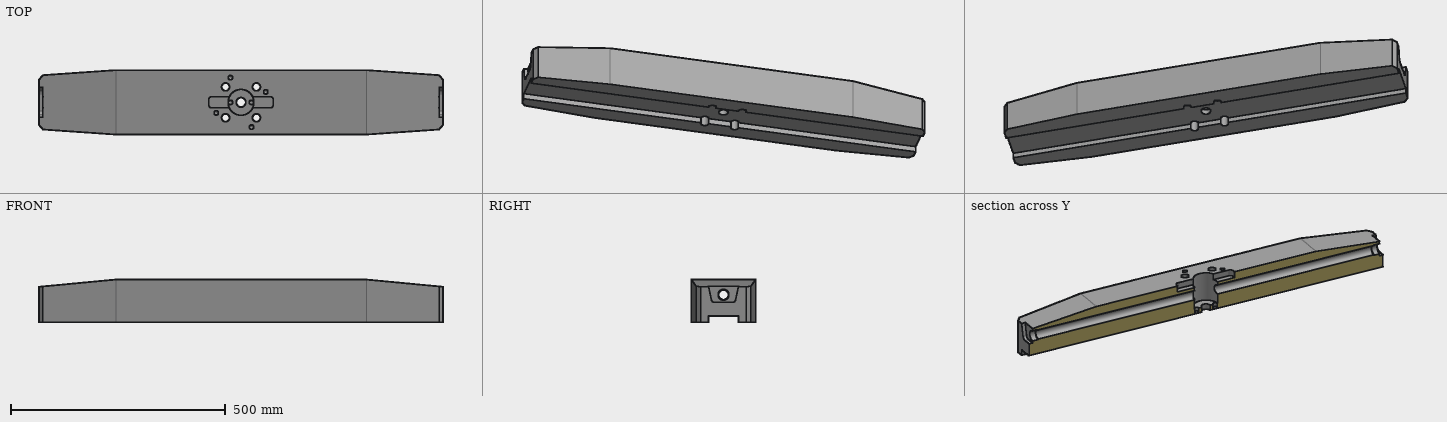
import cadquery as cq
import math

length = 940.0
width = 150.0
height = 100.0

taper_length = 179.0
end_height = 83.0
shoulder_width = 127.0
end_face_width = 105.0
corner_chamfer_length = 9.0

channel_width = 70.0
channel_depth = 14.0

bore_diameter = 60.0
bore_depth = 71.0
slot_length = 150.0
slot_width = 26.0
slot_depth = 15.0
slot_corner_radius = 7.5
hub_hole_diameter = 22.0
floor_hole_diameter = 10.0
floor_hole_spacing = 49.0
floor_hole_depth = 9.0

bolt_circle_diameter = 101.5
bolt_hole_diameter = 18.0
bolt_hole_angle = 45.0
tapped_circle_diameter = 125.0
tapped_hole_diameter = 10.0
drill_point_angle = 118.0
tapped_hole_depth = 19.0
tapped_hole_angle = 23.0

long_hole_diameter = 23.0
mouth_diameter = 25.0
mouth_length = 24.0
long_hole_height = 64.0
recess_depth = 9.0
recess_top_width = 70.0
recess_bottom_width = 54.0
recess_floor_height = 46.0
recess_corner_radius = 8.0

half_length = length / 2
taper_start = half_length - taper_length
chamfer_start = half_length - corner_chamfer_length


def body():
    """Bar narrowed in plan and lowered on top toward both ends."""
    plan_quarter = [
        (taper_start, width / 2),
        (chamfer_start, shoulder_width / 2),
        (half_length, end_face_width / 2),
    ]
    right_side = plan_quarter + [(x, -y) for x, y in reversed(plan_quarter)]
    left_side = [(-x, -y) for x, y in right_side]
    plan = cq.Workplane("XY").polyline(right_side + left_side).close().extrude(height)

    profile = (
        cq.Workplane("XZ")
        .polyline([
            (-half_length, 0),
            (half_length, 0),
            (half_length, end_height),
            (taper_start, height),
            (-taper_start, height),
            (-half_length, end_height),
        ])
        .close()
        .extrude(width / 2, both=True)
    )
    return plan.intersect(profile)


def channel():
    """Rectangular channel running the full length of the underside."""
    return cq.Workplane("XY").box(length, channel_width, channel_depth, centered=(True, True, False))


def top_cylinder(diameter, depth, top=height):
    """Vertical cylinder hanging down from the given height."""
    return cq.Workplane("XY").workplane(offset=top - depth).circle(diameter / 2).extrude(depth)


def drilled_hole(diameter, depth, top=height):
    """Blind vertical hole of the given full-diameter depth, ending in a drill point."""
    radius = diameter / 2
    point_length = radius / math.tan(math.radians(drill_point_angle / 2))
    return (
        cq.Workplane("XZ")
        .polyline([
            (0, top),
            (radius, top),
            (radius, top - depth),
            (0, top - depth - point_length),
        ])
        .close()
        .revolve(360, (0, 0, 0), (0, 1, 0))
    )


def hub():
    """Bore with a keyway slot, a central through hole and two blind floor holes."""
    slot = (
        cq.Workplane("XY")
        .box(slot_length, slot_width, slot_depth, centered=(True, True, False))
        .edges("|Z")
        .fillet(slot_corner_radius)
        .translate((0, 0, height - slot_depth))
    )
    cutter = top_cylinder(bore_diameter, bore_depth).union(slot)
    cutter = cutter.union(top_cylinder(hub_hole_diameter, height))
    floor_hole = drilled_hole(floor_hole_diameter, floor_hole_depth, height - bore_depth)
    for side in (-1, 1):
        cutter = cutter.union(floor_hole.translate((side * floor_hole_spacing / 2, 0, 0)))
    return cutter


def hole_circle(hole, circle_diameter, first_angle):
    """Four equally spaced copies of a vertical hole around the hub."""
    first = hole.translate((circle_diameter / 2, 0, 0))
    holes = cq.Workplane("XY")
    for quarter in range(4):
        holes = holes.add(first.rotate((0, 0, 0), (0, 0, 1), first_angle + 90 * quarter))
    return holes.combine()


def lengthwise_cylinder(diameter, start, cylinder_length):
    """Cylinder along X at the height of the long hole."""
    return (
        cq.Workplane("YZ", origin=(start, 0, long_hole_height))
        .circle(diameter / 2)
        .extrude(cylinder_length)
    )


def long_hole():
    """Round hole through the whole length, wider at both mouths."""
    hole = lengthwise_cylinder(long_hole_diameter, -half_length, length)
    for start in (-half_length, half_length - mouth_length):
        hole = hole.union(lengthwise_cylinder(mouth_diameter, start, mouth_length))
    return hole


def end_recess(side):
    """Tapered recess, open at the top, in the end face on the given side."""
    wall_slope = (recess_top_width - recess_bottom_width) / 2 / (end_height - recess_floor_height)
    open_half_width = recess_bottom_width / 2 + wall_slope * (height - recess_floor_height)
    recess = (
        cq.Workplane("YZ")
        .polyline([
            (-recess_bottom_width / 2, recess_floor_height),
            (recess_bottom_width / 2, recess_floor_height),
            (open_half_width, height),
            (-open_half_width, height),
        ])
        .close()
        .extrude(recess_depth / 2, both=True)
        .edges("|X and <Z")
        .fillet(recess_corner_radius)
    )
    return recess.translate((side * (half_length - recess_depth / 2), 0, 0))


bolt_hole = top_cylinder(bolt_hole_diameter, height)
tapped_hole = drilled_hole(tapped_hole_diameter, tapped_hole_depth)

result = body().cut(channel()).cut(hub()).cut(long_hole())
result = result.cut(hole_circle(bolt_hole, bolt_circle_diameter, bolt_hole_angle))
result = result.cut(hole_circle(tapped_hole, tapped_circle_diameter, tapped_hole_angle))
for end in (-1, 1):
    result = result.cut(end_recess(end))